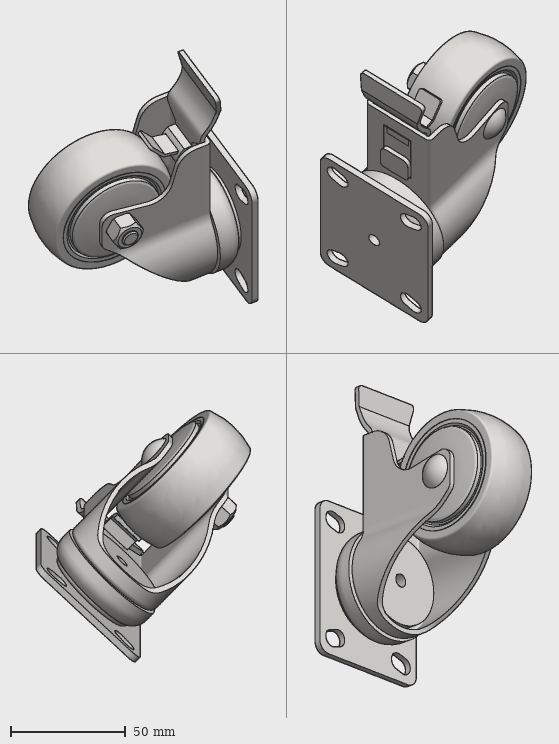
import cadquery as cq
import math


PLATE_WIDTH = 60.0
PLATE_HEIGHT = 72.0
PLATE_THICKNESS = 3.0
PLATE_CORNER = 5.3
SLOT_RADIUS = 3.9
SLOT_OUTER = (22.3, 27.9)
SLOT_INNER = (18.5, 26.8)
NECK_RADIUS = 21.1
NECK_BASE_RADIUS = 20.1
NECK_BULGE = (20.9, 3.8)
NECK_END = 4.9
CENTRE_HOLE = 6.0

CUP_RADIUS = 25.7
CUP_MOUTH_RADIUS = 21.5
CUP_SHOULDER = 11.8
CUP_END = 16.4

FORK_TOP = 64.5
LEG_HALF = 18.0
ROUND_RADIUS = 24.9
BLEND_RADIUS = 10.0
WALL = 2.3
FLOOR = 1.9
OUTER_BEND = 2.3
INNER_BEND = 0.8
RACE_RADIUS = 20.5
RACE_HEIGHT = 4.7
FLOOR_FACE = CUP_END + FLOOR
LEG_INNER = LEG_HALF - WALL
FORK_REACH = 70.7
SKIRT_REACH = 24.5
FORK_SIDE = [
    (CUP_END, FORK_TOP, 0),
    (31.6, FORK_TOP, 10.0),
    (38.4, 39.1, 10.0),
    (FORK_REACH, 45.0, 5.0),
    (FORK_REACH, 25.4, 5.0),
    (SKIRT_REACH, -18.7, 9.4),
    (SKIRT_REACH, -ROUND_RADIUS, 0),
    (CUP_END, -ROUND_RADIUS, 0),
]

AXLE_DEPTH = 61.4
AXLE_HEIGHT = 35.0
WHEEL_RADIUS = 31.6
TREAD_EDGE = (11.5, 29.8)
TYRE_ROUND_MIDDLE = (12.1, 29.4)
TYRE_HALF = 12.3
TYRE_FACE_OUTER = 28.5
TYRE_FACE_INNER = 25.4
RIM_HALF = 12.1
RIM_INNER = 23.5
GROOVE_BOTTOM = (11.3, 22.5)
HUB_RADIUS = 21.6
HUB_BEVEL_START = 13.5
HUB_BEVEL_END = (14.0, 20.5)
HUB_DOME_MIDDLE = (14.6, 15.5)
HUB_HALF = 15.0
BOLT_RADIUS = 3.9
BOLT_END = 27.2
BOLT_TIP_BEVEL = 0.6
HEAD_RADIUS = 7.7
HEAD_HEIGHT = 3.5
NUT_ACROSS_CORNERS = 15.2
NUT_LENGTH = 8.0
NUT_SEAT_RADIUS = 7.0
NUT_SEAT_BEVEL = 0.4
NUT_TIP_RADIUS = 5.8
NUT_TIP_BEVEL = 1.5

STRIP = 2.3
PEDAL_TOP = 89.8
PEDAL_TOP_DEPTH = 14.3
PEDAL_TOP_HALF = 17.5
PEDAL_CORNER = 1.9
PEDAL_FLARE_HEIGHT = 77.5
PEDAL_CREASE = (12.8, 80.2)
PEDAL_SWEEP = (14.0, 73.8)
PEDAL_SWEEP_RADIUS = 20.6
STRAP_BEND_HEIGHT = 67.3
STRAP_BEND_RADIUS = 6.5
STRAP_DEPTH = FLOOR_FACE + STRIP
STRAP_HALF = LEG_INNER - INNER_BEND
STRAP_TAPER_HEIGHT = 63.4
TONGUE_HALF = 7.5
SHELF_EDGE = 24.4
SHELF_HEIGHT = 55.1
LIP_DEPTH = 27.8
LIP_CORNER_HEIGHT = 52.0
LIP_RADIUS = 8.0
LIP_BOTTOM = 47.2
LEAF = 1.5
LEAF_HALF = 5.9
LEAF_CORNER = 1.3
LEAF_TIP = (39.2, 62.3)
LEAF_FOLD = (33.1, 54.6)
LEAF_ROOT = (25.2, 53.0)
SLIDE_DEPTH = 16.0
SLIDE_TOP = 57.2
BUTTON_DEPTH = 14.0
BUTTON_TOP = 44.7
BUTTON_BOTTOM = 32.3
BUTTON_TOP_CORNER = 3.1
BUTTON_BOTTOM_CORNER = 1.8


def rounded_outline(plane, points):
    """Closed wire through (u, v, radius) corners; a radius of 0 leaves the corner sharp."""
    path = None
    for i, (u, v, radius) in enumerate(points):
        before = cq.Vector(*points[i - 1][:2])
        corner = cq.Vector(u, v)
        after = cq.Vector(*points[(i + 1) % len(points)][:2])
        back = (before - corner).normalized()
        ahead = (after - corner).normalized()
        half_angle = back.getAngle(ahead) / 2
        setback = radius / math.tan(half_angle)
        start = corner + back * setback
        path = plane.moveTo(start.x, start.y) if path is None else path.lineTo(start.x, start.y)
        if radius:
            bisector = (back + ahead).normalized()
            middle = corner + bisector * (radius / math.sin(half_angle) - radius)
            end = corner + ahead * setback
            path = path.threePointArc((middle.x, middle.y), (end.x, end.y))
    return path.close()


def side_prism(points, half_width):
    """Prism across X from (depth, height, corner radius) points, symmetric about x = 0."""
    corners = [(-depth, height, radius) for depth, height, radius in points]
    return rounded_outline(cq.Workplane("YZ"), corners).extrude(half_width, both=True)


def bent_strip(points, thickness, half_width):
    """Sheet strip whose front face follows (depth, height, bend radius) points from top down."""
    back_side = []
    for i, (depth, height, radius) in enumerate(points):
        here = cq.Vector(depth, height)
        first = here - cq.Vector(*points[i - 1][:2]) if i else None
        last = cq.Vector(*points[i + 1][:2]) - here if i + 1 < len(points) else None
        first = (first or last).normalized()
        last = (last or first).normalized()
        normal_first = cq.Vector(first.y, -first.x)
        normal_last = cq.Vector(last.y, -last.x)
        mitre = (normal_first + normal_last) * (thickness / (1 + normal_first.dot(normal_last)))
        turn = first.cross(last).z
        bend = max(radius + math.copysign(thickness, turn), 0) if radius else 0
        back_side.append((depth + mitre.x, height + mitre.y, bend))
    return side_prism(list(points) + back_side[::-1], half_width)


def from_depth(depth):
    """Sketch plane facing -Y at the given depth, with X to the right and Z up."""
    return cq.Workplane("XZ", origin=(0, -depth, 0))


def about_axle():
    """Sketch plane with the axle as its local X axis."""
    return cq.Workplane("XZ", origin=(0, -AXLE_DEPTH, AXLE_HEIGHT))


def centre_hole(depth):
    return from_depth(0).circle(CENTRE_HOLE / 2).extrude(depth)


def make_plate():
    plate = from_depth(0).rect(PLATE_WIDTH, PLATE_HEIGHT).extrude(PLATE_THICKNESS)
    plate = plate.edges("|Y").fillet(PLATE_CORNER)
    neck = (
        cq.Workplane("XY")
        .moveTo(0, -PLATE_THICKNESS)
        .lineTo(NECK_BASE_RADIUS, -PLATE_THICKNESS)
        .threePointArc((NECK_BULGE[0], -NECK_BULGE[1]), (NECK_RADIUS, -NECK_END))
        .lineTo(0, -NECK_END)
        .close()
        .revolve(360, (0, 0), (0, 1))
    )
    plate = plate.union(neck)
    middle_x = (SLOT_OUTER[0] + SLOT_INNER[0]) / 2
    middle_z = (SLOT_OUTER[1] + SLOT_INNER[1]) / 2
    run = SLOT_OUTER[0] - SLOT_INNER[0]
    rise = SLOT_OUTER[1] - SLOT_INNER[1]
    length = math.hypot(run, rise) + 2 * SLOT_RADIUS
    tilt = math.degrees(math.atan2(rise, run))
    for sx in (-1, 1):
        for sz in (-1, 1):
            slot = from_depth(0).center(sx * middle_x, sz * middle_z)
            plate = plate.cut(slot.slot2D(length, 2 * SLOT_RADIUS, sx * sz * tilt).extrude(PLATE_THICKNESS))
    return plate.cut(centre_hole(NECK_END))


def make_cup():
    shoulder_drop = CUP_RADIUS - CUP_MOUTH_RADIUS
    shoulder_run = CUP_SHOULDER - NECK_END
    bulge_angle = 2 * math.atan2(shoulder_drop, shoulder_run)
    bulge = shoulder_run / math.sin(bulge_angle)
    mid_radius = CUP_RADIUS - bulge * (1 - math.cos(bulge_angle / 2))
    mid_depth = CUP_SHOULDER - bulge * math.sin(bulge_angle / 2)
    cup = (
        cq.Workplane("XY")
        .moveTo(0, -NECK_END)
        .lineTo(CUP_MOUTH_RADIUS, -NECK_END)
        .threePointArc((mid_radius, -mid_depth), (CUP_RADIUS, -CUP_SHOULDER))
        .lineTo(CUP_RADIUS, -CUP_END)
        .lineTo(0, -CUP_END)
        .close()
        .revolve(360, (0, 0), (0, 1))
    )
    return cup.cut(centre_hole(CUP_END))


def keyhole(depth, inset, top):
    """Outline of two parallel legs blending into a round around the swivel axis."""
    half = LEG_HALF - inset
    radius = ROUND_RADIUS - inset
    blend = BLEND_RADIUS + inset
    centre_x = half + blend
    centre_z = math.sqrt((radius + blend) ** 2 - centre_x**2)
    share = radius / (radius + blend)
    touch = (centre_x * share, centre_z * share)
    middle_angle = (math.pi + math.atan2(-centre_z, -centre_x) + 2 * math.pi) / 2
    middle = (centre_x + blend * math.cos(middle_angle), centre_z + blend * math.sin(middle_angle))
    return (
        from_depth(depth)
        .moveTo(-half, top)
        .lineTo(half, top)
        .lineTo(half, centre_z)
        .threePointArc(middle, touch)
        .threePointArc((0, -radius), (-touch[0], touch[1]))
        .threePointArc((-middle[0], middle[1]), (-half, centre_z))
        .close()
    )


def make_fork():
    length = FORK_REACH - CUP_END
    channel = keyhole(CUP_END, 0, FORK_TOP + WALL).extrude(length)
    channel = channel.faces(">Y").edges("not >Z").fillet(OUTER_BEND)
    hollow = keyhole(FLOOR_FACE, WALL, FORK_TOP + 2 * WALL).extrude(length)
    hollow = hollow.faces(">Y").edges("not >Z").fillet(INNER_BEND)
    side = side_prism(FORK_SIDE, ROUND_RADIUS)
    fork = channel.cut(hollow).intersect(side)
    race = from_depth(FLOOR_FACE).circle(RACE_RADIUS).extrude(RACE_HEIGHT)
    fork = fork.union(race).cut(centre_hole(FLOOR_FACE + RACE_HEIGHT))
    axle_hole = cq.Workplane("YZ", origin=(0, -AXLE_DEPTH, AXLE_HEIGHT)).circle(BOLT_RADIUS)
    return fork.cut(passage()).cut(axle_hole.extrude(LEG_HALF, both=True))


def make_wheel():
    def mirrored(point):
        return (-point[0], point[1])

    tyre_side = [
        (TYRE_HALF, TYRE_FACE_OUTER),
        (TYRE_HALF, TYRE_FACE_INNER),
        (RIM_HALF, TYRE_FACE_INNER),
        (RIM_HALF, RIM_INNER),
        GROOVE_BOTTOM,
        (GROOVE_BOTTOM[0], HUB_RADIUS),
        (HUB_BEVEL_START, HUB_RADIUS),
        HUB_BEVEL_END,
    ]
    other_side = [mirrored(point) for point in tyre_side[::-1]]
    return (
        about_axle()
        .moveTo(*mirrored(TREAD_EDGE))
        .threePointArc((0, WHEEL_RADIUS), TREAD_EDGE)
        .threePointArc(TYRE_ROUND_MIDDLE, tyre_side[0])
        .polyline(tyre_side[1:], includeCurrent=True)
        .threePointArc(HUB_DOME_MIDDLE, (HUB_HALF, BOLT_RADIUS))
        .lineTo(-HUB_HALF, BOLT_RADIUS)
        .threePointArc(mirrored(HUB_DOME_MIDDLE), other_side[0])
        .polyline(other_side[1:], includeCurrent=True)
        .threePointArc(mirrored(TYRE_ROUND_MIDDLE), mirrored(TREAD_EDGE))
        .close()
        .revolve(360, (0, 0), (1, 0))
    )


def make_bolt():
    head_top = -LEG_HALF - HEAD_HEIGHT
    dome = (HEAD_RADIUS**2 + HEAD_HEIGHT**2) / (2 * HEAD_HEIGHT)
    half_angle = math.asin(HEAD_RADIUS / dome) / 2
    middle = (head_top + dome * (1 - math.cos(half_angle)), dome * math.sin(half_angle))
    return (
        about_axle()
        .moveTo(head_top, 0)
        .threePointArc(middle, (-LEG_HALF, HEAD_RADIUS))
        .lineTo(-LEG_HALF, BOLT_RADIUS)
        .lineTo(BOLT_END - BOLT_TIP_BEVEL, BOLT_RADIUS)
        .lineTo(BOLT_END, BOLT_RADIUS - BOLT_TIP_BEVEL)
        .lineTo(BOLT_END, 0)
        .close()
        .revolve(360, (0, 0), (1, 0))
    )


def make_nut():
    corner_radius = NUT_ACROSS_CORNERS / 2
    tip = LEG_HALF + NUT_LENGTH
    hexagon = cq.Workplane("YZ", origin=(LEG_HALF, -AXLE_DEPTH, AXLE_HEIGHT))
    hexagon = hexagon.polygon(6, NUT_ACROSS_CORNERS).extrude(NUT_LENGTH)
    turned = (
        about_axle()
        .moveTo(LEG_HALF, BOLT_RADIUS)
        .lineTo(LEG_HALF, NUT_SEAT_RADIUS)
        .lineTo(LEG_HALF + NUT_SEAT_BEVEL, corner_radius)
        .lineTo(tip - NUT_TIP_BEVEL, corner_radius)
        .lineTo(tip, NUT_TIP_RADIUS)
        .lineTo(tip, BOLT_RADIUS)
        .close()
        .revolve(360, (0, 0), (1, 0))
    )
    return hexagon.intersect(turned)


def passage():
    """Block of the brake that fills a matching slot in the fork floor."""
    bottom = SHELF_HEIGHT - STRIP
    block = from_depth(CUP_END).center(0, (SLIDE_TOP + bottom) / 2)
    return block.rect(2 * LEAF_HALF, SLIDE_TOP - bottom).extrude(FLOOR)


def brake_pedal():
    """Bent strip from the pedal down to the lip, cut to its width outline."""
    strip = bent_strip(
        [
            (PEDAL_TOP_DEPTH, PEDAL_TOP, 0),
            (*PEDAL_CREASE, 0),
            (*PEDAL_SWEEP, PEDAL_SWEEP_RADIUS),
            (STRAP_DEPTH, STRAP_BEND_HEIGHT, STRAP_BEND_RADIUS),
            (STRAP_DEPTH, SHELF_HEIGHT, 0),
            (SHELF_EDGE, SHELF_HEIGHT, 0),
            (LIP_DEPTH, LIP_CORNER_HEIGHT, LIP_RADIUS),
            (LIP_DEPTH, LIP_BOTTOM, 0),
        ],
        STRIP,
        PEDAL_TOP_HALF,
    )
    right = [
        (PEDAL_TOP_HALF, PEDAL_TOP, PEDAL_CORNER),
        (STRAP_HALF, PEDAL_FLARE_HEIGHT, 0),
        (STRAP_HALF, STRAP_TAPER_HEIGHT, 0),
        (TONGUE_HALF, SLIDE_TOP, 0),
        (TONGUE_HALF, LIP_BOTTOM, 0),
    ]
    left = [(-x, z, radius) for x, z, radius in right[::-1]]
    return strip.intersect(rounded_outline(from_depth(0), right + left).extrude(LIP_DEPTH))


def brake_leaf():
    """Thin tongue that reaches from the lip to just off the tread."""
    leaf = bent_strip([(*point, 0) for point in (LEAF_TIP, LEAF_FOLD, LEAF_ROOT)], -LEAF, LEAF_HALF)
    return leaf.faces("<Y").edges("not |X").fillet(LEAF_CORNER)


def brake_slide():
    """Thin slide on the back of the fork floor with a raised button at its lower end."""
    slide = from_depth(SLIDE_DEPTH).center(0, (SLIDE_TOP + BUTTON_BOTTOM) / 2)
    slide = slide.rect(2 * TONGUE_HALF, SLIDE_TOP - BUTTON_BOTTOM).extrude(CUP_END - SLIDE_DEPTH)
    button = rounded_outline(
        from_depth(BUTTON_DEPTH),
        [
            (-TONGUE_HALF, BUTTON_TOP, BUTTON_TOP_CORNER),
            (TONGUE_HALF, BUTTON_TOP, BUTTON_TOP_CORNER),
            (TONGUE_HALF, BUTTON_BOTTOM, BUTTON_BOTTOM_CORNER),
            (-TONGUE_HALF, BUTTON_BOTTOM, BUTTON_BOTTOM_CORNER),
        ],
    )
    return slide.union(button.extrude(SLIDE_DEPTH - BUTTON_DEPTH))


def make_brake():
    return brake_pedal().union(brake_leaf()).union(passage()).union(brake_slide())


plate = make_plate()
cup = make_cup()
fork = make_fork()
wheel = make_wheel()
bolt = make_bolt()
nut = make_nut()
brake = make_brake()

bodies = [plate, cup, fork, wheel, bolt, nut, brake]
result = cq.Compound.makeCompound([body.solids().val() for body in bodies])